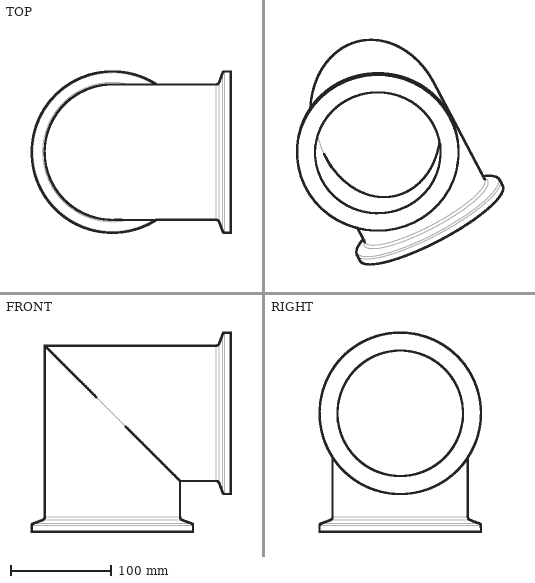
import cadquery as cq
import math


pipe_diameter = 135.0
bore_diameter = 125.0
flange_diameter = 161.0
leg_length = 118.0
neck_height = 12.5
taper_angle = 20.0
rim_fillet = 2.0
neck_fillet = 3.0

pipe_radius = pipe_diameter / 2
bore_radius = bore_diameter / 2
flange_radius = flange_diameter / 2
taper_rise = (flange_radius - pipe_radius) * math.tan(math.radians(taper_angle))

face_z = -leg_length
neck_z = face_z + neck_height
rim_z = neck_z - taper_rise
mitre_reach = pipe_radius


def ring_at(z):
    """Select the circular edge lying at height z."""
    tolerance = 0.01
    reach = 2 * flange_radius
    return cq.selectors.BoxSelector(
        (-reach, -reach, z - tolerance), (reach, reach, z + tolerance)
    )


def flanged_pipe():
    """Solid vertical pipe with its flange, long enough to be mitred."""
    outline = [
        (0, face_z),
        (flange_radius, face_z),
        (flange_radius, rim_z),
        (pipe_radius, neck_z),
        (pipe_radius, mitre_reach),
        (0, mitre_reach),
    ]
    axis_start = (0, 0)
    axis_end = (0, 1)
    pipe = cq.Workplane("XZ").polyline(outline).close().revolve(360, axis_start, axis_end)
    pipe = pipe.edges(ring_at(rim_z)).fillet(rim_fillet)
    return pipe.edges(ring_at(neck_z)).fillet(neck_fillet)


def bore():
    """Straight bore through the whole vertical pipe."""
    length = leg_length + mitre_reach
    return cq.Workplane("XY", origin=(0, 0, face_z)).circle(bore_radius).extrude(length)


def below_mitre():
    """Wedge-shaped region under the 45 degree plane z = -x."""
    outline = [
        (-leg_length, leg_length),
        (leg_length, -leg_length),
        (-leg_length, -leg_length),
    ]
    return cq.Workplane("XZ").polyline(outline).close().extrude(flange_radius, both=True)


def vertical_leg():
    """Hollow vertical leg, cut off on the mitre plane."""
    return flanged_pipe().cut(bore()).intersect(below_mitre())


def horizontal_leg(leg):
    """Copy of the vertical leg mirrored across the mitre plane z = -x."""
    laid_along_x = leg.rotate((0, 0, 0), (0, 1, 0), -90)
    return laid_along_x.mirror("XY")


lower_leg = vertical_leg()
result = lower_leg.union(horizontal_leg(lower_leg))